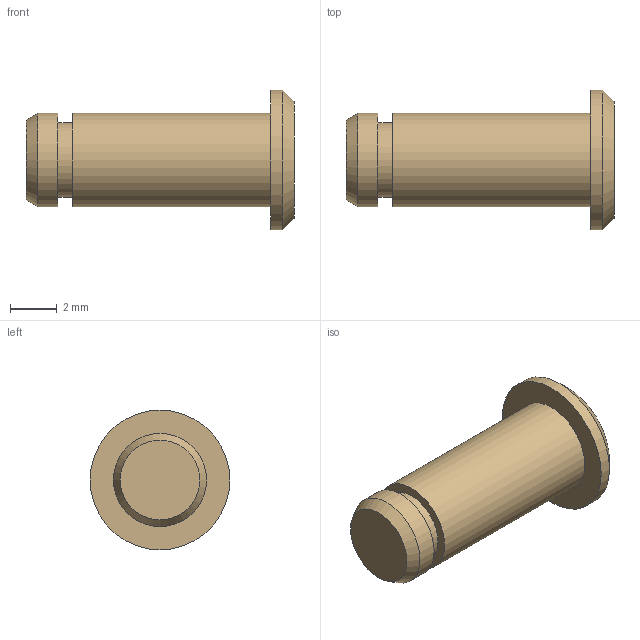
import cadquery as cq
import math

overall_length = 11.5
shank_radius = 4.0 / 2

head_radius = 6.0 / 2
head_thickness = 1.0
head_chamfer = 0.5

tip_chamfer_length = 0.5
tip_chamfer_angle = 30.0
tip_chamfer_depth = tip_chamfer_length * math.tan(math.radians(tip_chamfer_angle))

groove_radius = 3.2 / 2
groove_width = 0.64
groove_end = 2.0
groove_start = groove_end - groove_width

shank_length = overall_length - head_thickness


def cylinder_along_x(start, length, radius):
    """Solid cylinder on the X axis, beginning at X = start."""
    return cq.Workplane("YZ").workplane(offset=start).circle(radius).extrude(length)


def make_shank():
    """Shank with a shallow conical chamfer around its tip."""
    profile = [
        (0, 0),
        (0, shank_radius - tip_chamfer_depth),
        (tip_chamfer_length, shank_radius),
        (shank_length, shank_radius),
        (shank_length, 0),
    ]
    return cq.Workplane("XY").polyline(profile).close().revolve(360, (0, 0, 0), (1, 0, 0))


def make_head():
    """Disc head, chamfered around its outer face."""
    head = cylinder_along_x(shank_length, head_thickness, head_radius)
    return head.faces(">X").edges().chamfer(head_chamfer)


def make_groove():
    """Ring of material removed for the retaining ring."""
    outer = cylinder_along_x(groove_start, groove_width, head_radius)
    core = cylinder_along_x(groove_start, groove_width, groove_radius)
    return outer.cut(core)


result = make_shank().union(make_head()).cut(make_groove())